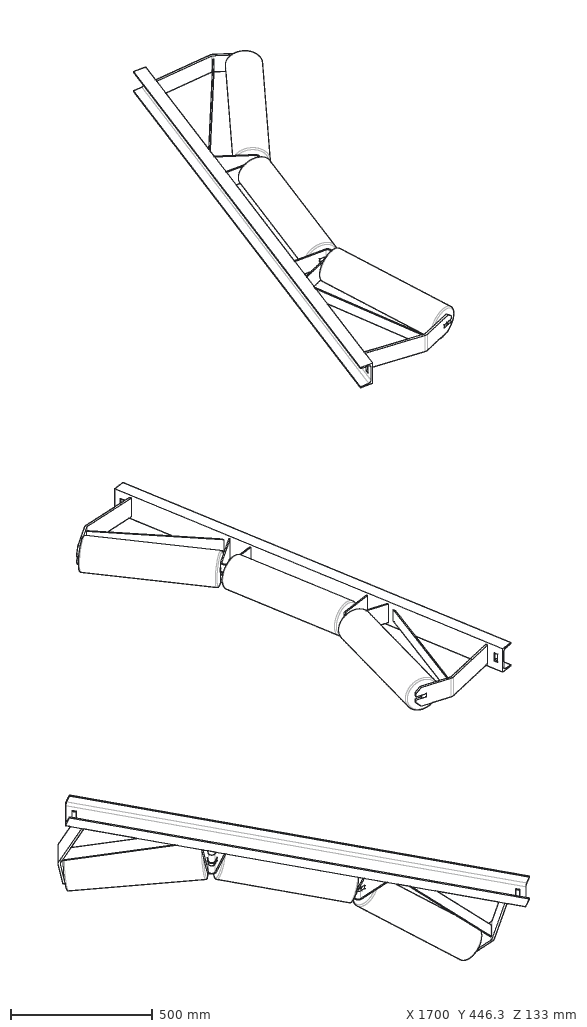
import cadquery as cq
import math

BASE_LENGTH = 1700.0
BASE_HEIGHT = 100.0
BASE_DEPTH = 50.0
WEB_THICKNESS = 7.0
FLANGE_ROOT = 8.0
FLANGE_TIP = 5.0
ROOT_RADIUS = 10.0
MOUNT_SLOT_WIDTH = 15.0
MOUNT_SLOT_LENGTH = 34.0
MOUNT_SLOT_INSET = 30.0

TROUGH_ANGLE = 25.0
ROLLER_DIAMETER = 133.0
ROLLER_LENGTH = 500.0
ROLLER_EDGE_RADIUS = 5.0
CENTRE_ROLLER_Y = 163.0
WING_ROLLER_X = 520.0
WING_ROLLER_Y = 282.0
SHAFT_DIAMETER = 20.0
SHAFT_FLAT_WIDTH = 14.0
END_GAP = 3.0
SHAFT_SLOT_OVERRUN = 17.0

BRACKET_WIDTH = 80.0
OUTER_THICKNESS = 8.0
OUTER_BEND_RADIUS = 14.0
OUTER_FOOT_X = 772.0
OUTER_KNEE_Y = 287.0
OUTER_TIP_REACH = 32.0
OUTER_TIP_CHAMFER = 20.0
INNER_THICKNESS = 5.0
INNER_BEND_RADIUS = 12.0

STRUT_THICKNESS = 5.0
STRUT_WIDTH = 50.0
STRUT_ANGLE = 30.0
STRUT_FOOT_X = 375.0

TILT = math.radians(TROUGH_ANGLE)
BRACKET_OFFSET = ROLLER_LENGTH / 2 + END_GAP


def wing_point(along, across):
    """XY point measured along and across the axis of the right wing roller from its middle."""
    return (
        WING_ROLLER_X + along * math.cos(TILT) - across * math.sin(TILT),
        WING_ROLLER_Y + along * math.sin(TILT) + across * math.cos(TILT),
    )


def wing_end_point_at_x(along, x):
    """Point at the given X on the line square to the wing roller axis."""
    across = (WING_ROLLER_X + along * math.cos(TILT) - x) / math.sin(TILT)
    return wing_point(along, across)


def wing_end_point_at_y(along, y):
    """Point at the given Y on the line square to the wing roller axis."""
    across = (y - WING_ROLLER_Y - along * math.sin(TILT)) / math.cos(TILT)
    return wing_point(along, across)


def place_on_wing(body):
    """Move a body built around the origin along X onto the right wing roller axis."""
    return body.rotate((0, 0, 0), (0, 0, 1), TROUGH_ANGLE).translate((WING_ROLLER_X, WING_ROLLER_Y, 0))


def sheet(outline, width):
    """Extrude an XY outline to a width centred on Z = 0."""
    return cq.Workplane("XY").workplane(offset=-width / 2).polyline(outline).close().extrude(width)


def trim_at_web(body):
    """Keep the part of a body on the +Y side of the channel web."""
    side = 2 * BASE_LENGTH
    waste = cq.Workplane("XY").box(side, side, BASE_HEIGHT).translate((0, BASE_DEPTH - side / 2, 0))
    return body.cut(waste)


def left_normal(start, end):
    """Unit vector square to start - end, on its left."""
    length = math.dist(start, end)
    return ((start[1] - end[1]) / length, (end[0] - start[0]) / length)


def bent_sheet(start, knee, end, thickness, path_radius, offset_radius):
    """Sheet thickened to the left of the path start - knee - end, rounded at the knee.

    path_radius rounds the knee of the path, offset_radius the knee of the other face.
    """
    n1 = left_normal(start, knee)
    n2 = left_normal(knee, end)
    mitre = thickness / (1 + n1[0] * n2[0] + n1[1] * n2[1])
    offset_start = (start[0] + thickness * n1[0], start[1] + thickness * n1[1])
    offset_knee = (knee[0] + mitre * (n1[0] + n2[0]), knee[1] + mitre * (n1[1] + n2[1]))
    offset_end = (end[0] + thickness * n2[0], end[1] + thickness * n2[1])
    body = sheet([start, knee, end, offset_end, offset_knee, offset_start], BRACKET_WIDTH)
    for corner, radius in ((knee, path_radius), (offset_knee, offset_radius)):
        body = body.edges(cq.selectors.NearestToPointSelector((*corner, 0))).fillet(radius)
    return body


def make_base():
    """Channel with tapered flanges, rounded roots and a mounting slot near each end."""
    half = BASE_HEIGHT / 2
    web_front = BASE_DEPTH - WEB_THICKNESS
    profile = [
        (BASE_DEPTH, -half),
        (BASE_DEPTH, half),
        (0, half),
        (0, half - FLANGE_TIP),
        (web_front, half - FLANGE_ROOT),
        (web_front, FLANGE_ROOT - half),
        (0, FLANGE_TIP - half),
        (0, -half),
    ]
    base = (
        cq.Workplane("YZ")
        .workplane(offset=-BASE_LENGTH / 2)
        .polyline(profile)
        .close()
        .extrude(BASE_LENGTH)
    )
    for z in (half - FLANGE_ROOT, FLANGE_ROOT - half):
        base = base.edges(cq.selectors.NearestToPointSelector((0, web_front, z))).fillet(ROOT_RADIUS)
    slot_x = BASE_LENGTH / 2 - MOUNT_SLOT_INSET
    slots = (
        cq.Workplane("XZ")
        .pushPoints([(-slot_x, 0), (slot_x, 0)])
        .rect(MOUNT_SLOT_WIDTH, MOUNT_SLOT_LENGTH)
        .extrude(-BASE_DEPTH)
    )
    return base.cut(slots)


def make_roller(shaft_start, shaft_end):
    """Roller along X around the origin, with a flatted shaft end beyond each face."""
    drum = (
        cq.Workplane("YZ")
        .workplane(offset=-ROLLER_LENGTH / 2)
        .circle(ROLLER_DIAMETER / 2)
        .extrude(ROLLER_LENGTH)
        .edges()
        .fillet(ROLLER_EDGE_RADIUS)
    )
    length = shaft_end - shaft_start
    shaft = cq.Workplane("YZ").workplane(offset=shaft_start).circle(SHAFT_DIAMETER / 2).extrude(length)
    flats = (
        cq.Workplane("YZ")
        .workplane(offset=shaft_start)
        .rect(SHAFT_DIAMETER, SHAFT_FLAT_WIDTH)
        .extrude(length)
    )
    return drum.union(shaft.intersect(flats))


def make_shaft_slots():
    """Cutter around the origin: lets both flatted shaft ends drop in from +Y."""
    length = 2 * (BRACKET_OFFSET + SHAFT_SLOT_OVERRUN)
    bottom = -SHAFT_DIAMETER / 2
    return (
        cq.Workplane("XY")
        .box(length, ROLLER_DIAMETER, SHAFT_FLAT_WIDTH)
        .translate((0, bottom + ROLLER_DIAMETER / 2, 0))
    )


def make_outer_bracket():
    """Right outer bracket: a leg on the web, a knee and a slotted tip at the wing roller end."""
    tip = wing_point(BRACKET_OFFSET, OUTER_TIP_REACH)
    knee = wing_end_point_at_y(BRACKET_OFFSET, OUTER_KNEE_Y)
    bracket = bent_sheet(
        tip,
        knee,
        (OUTER_FOOT_X, 0),
        OUTER_THICKNESS,
        OUTER_BEND_RADIUS,
        OUTER_BEND_RADIUS + OUTER_THICKNESS,
    )
    tip_middle = wing_point(BRACKET_OFFSET + OUTER_THICKNESS / 2, OUTER_TIP_REACH)
    for z in (-BRACKET_WIDTH / 2, BRACKET_WIDTH / 2):
        corner_edge = cq.selectors.NearestToPointSelector((*tip_middle, z))
        bracket = bracket.edges(corner_edge).chamfer(OUTER_TIP_CHAMFER)
    return trim_at_web(bracket).cut(place_on_wing(make_shaft_slots()))


def make_inner_bracket():
    """Right inner bracket: a hat with one leg along the centre roller and one along the wing."""
    apex = wing_end_point_at_x(-BRACKET_OFFSET, BRACKET_OFFSET)
    wing_foot = wing_end_point_at_y(-BRACKET_OFFSET, 0)
    centre_foot = (BRACKET_OFFSET, 0)
    bracket = bent_sheet(
        wing_foot,
        apex,
        centre_foot,
        INNER_THICKNESS,
        INNER_BEND_RADIUS + INNER_THICKNESS,
        INNER_BEND_RADIUS,
    )
    bracket = trim_at_web(bracket)
    bracket = bracket.cut(place_on_wing(make_shaft_slots()))
    return bracket.cut(make_shaft_slots().translate((0, CENTRE_ROLLER_Y, 0)))


def make_strut(outer_bracket):
    """Flat bar that runs up from the web and ends on the inner face of the outer bracket."""
    bar = (
        cq.Workplane("XY")
        .box(BASE_LENGTH, STRUT_THICKNESS, STRUT_WIDTH)
        .rotate((0, 0, 0), (0, 0, 1), STRUT_ANGLE)
        .translate((STRUT_FOOT_X, BASE_DEPTH, 0))
    )
    return trim_at_web(bar).cut(outer_bracket).solids("<X")


base = make_base()
outer_end = BRACKET_OFFSET + OUTER_THICKNESS
inner_end = BRACKET_OFFSET + INNER_THICKNESS
centre_roller = make_roller(-inner_end, inner_end).translate((0, CENTRE_ROLLER_Y, 0))
wing_roller = place_on_wing(make_roller(-inner_end, outer_end))
outer_bracket = make_outer_bracket()
inner_bracket = make_inner_bracket()
strut = make_strut(outer_bracket)

bodies = [*base.solids().vals(), *centre_roller.solids().vals()]
for right_body in (wing_roller, outer_bracket, inner_bracket, strut):
    bodies += right_body.solids().vals()
    bodies += right_body.mirror("YZ").solids().vals()

result = cq.Compound.makeCompound(bodies)